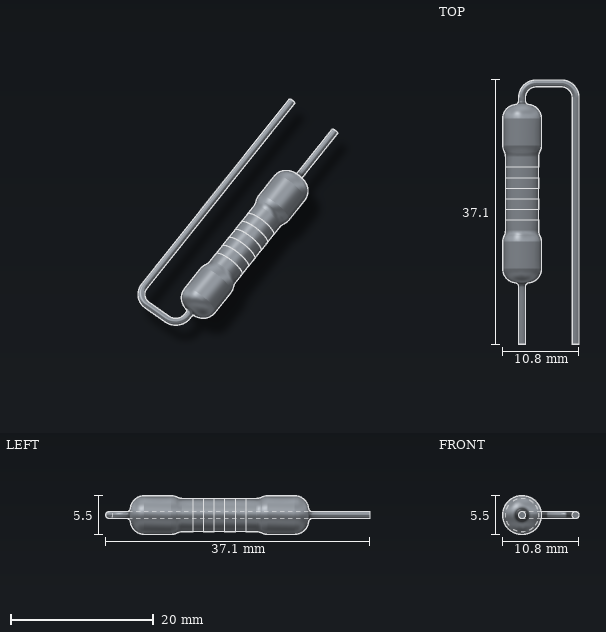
import cadquery as cq
import math


total_length = 37.1
total_width = 10.75

wire_radius = 1.0 / 2
bend_radius = 4 * wire_radius
bend_start = 13.45

cap_radius = 5.5 / 2
band_radius = 4.7 / 2
groove_radius = 4.67 / 2

band_count = 7
band_width = 1.5
waist_end = band_count * band_width / 2
cap_start = 6.75
dome_start = 10.55
neck_end = 13.02
dome_radius = 2.0

lead_spacing = total_width - cap_radius - wire_radius
bend_axis_y = bend_start + bend_radius
lead_end_y = bend_axis_y + wire_radius - total_length


def make_cap():
    """Return the +Y end cap: flared shoulder, cylinder, dome and concave neck."""
    half_rise = (cap_radius - band_radius) / 2
    half_run = (cap_start - waist_end) / 2
    shoulder_radius = (half_rise**2 + half_run**2) / (2 * half_rise)
    half_angle = math.asin(half_run / shoulder_radius) / 2
    arc_rise = shoulder_radius * (1 - math.cos(half_angle))
    arc_run = shoulder_radius * math.sin(half_angle)

    radial_gap = cap_radius - wire_radius
    axial_gap = neck_end - dome_start
    neck_radius = (radial_gap**2 + axial_gap**2) / (2 * radial_gap) - dome_radius
    dome_center = (cap_radius - dome_radius, dome_start)
    neck_center = (wire_radius + neck_radius, neck_end)
    contact_angle = math.acos((neck_center[0] - dome_center[0]) / (dome_radius + neck_radius))

    def on_dome(angle):
        return (
            dome_center[0] + dome_radius * math.cos(angle),
            dome_center[1] + dome_radius * math.sin(angle),
        )

    def on_neck(angle):
        return (
            neck_center[0] - neck_radius * math.cos(angle),
            neck_center[1] - neck_radius * math.sin(angle),
        )

    return (
        cq.Workplane("XY")
        .moveTo(0, waist_end)
        .lineTo(band_radius, waist_end)
        .threePointArc(
            (band_radius + arc_rise, waist_end + arc_run),
            (band_radius + half_rise, waist_end + half_run),
        )
        .threePointArc(
            (cap_radius - arc_rise, cap_start - arc_run),
            (cap_radius, cap_start),
        )
        .lineTo(cap_radius, dome_start)
        .threePointArc(on_dome(contact_angle / 2), on_dome(contact_angle))
        .threePointArc(on_neck(contact_angle / 2), (wire_radius, neck_end))
        .lineTo(0, neck_end)
        .close()
        .revolve(360, (0, 0, 0), (0, 1, 0))
    )


def make_waist():
    """Return the middle of the body: raised bands alternating with shallow grooves."""
    waist = cq.Workplane("XZ", origin=(0, -waist_end, 0)).circle(groove_radius).extrude(-2 * waist_end)
    for index in range(0, band_count, 2):
        start_y = -waist_end + index * band_width
        band = cq.Workplane("XZ", origin=(0, start_y, 0)).circle(band_radius).extrude(-band_width)
        waist = waist.union(band)
    return waist


def make_straight_lead():
    """Return the short lead that leaves the -Y end of the body."""
    lead_length = -neck_end - lead_end_y
    return cq.Workplane("XZ", origin=(0, -neck_end, 0)).circle(wire_radius).extrude(lead_length)


def make_bent_lead():
    """Return the lead that leaves the +Y end and turns back through two quarter bends."""
    diagonal = bend_radius * math.sqrt(0.5)
    far_bend_x = lead_spacing - bend_radius
    path = (
        cq.Workplane("XY")
        .moveTo(0, neck_end)
        .lineTo(0, bend_start)
        .threePointArc((bend_radius - diagonal, bend_start + diagonal), (bend_radius, bend_axis_y))
        .lineTo(far_bend_x, bend_axis_y)
        .threePointArc((far_bend_x + diagonal, bend_start + diagonal), (lead_spacing, bend_start))
        .lineTo(lead_spacing, lead_end_y)
    )
    return cq.Workplane("XZ", origin=(0, neck_end, 0)).circle(wire_radius).sweep(path)


cap = make_cap()
result = (
    make_waist()
    .union(cap)
    .union(cap.mirror("XZ"))
    .union(make_straight_lead())
    .union(make_bent_lead())
)